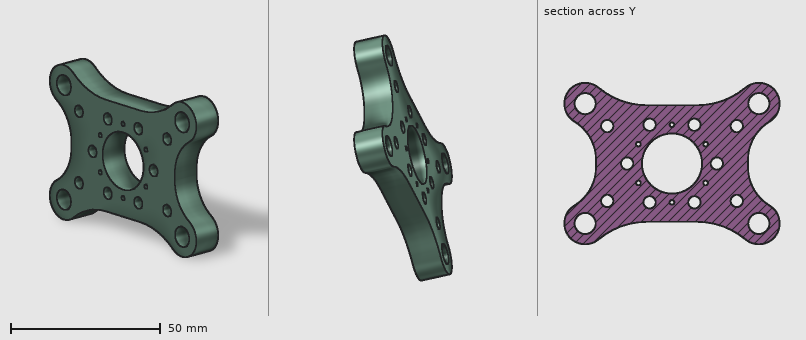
import cadquery as cq
import math

length = 72.0
height = 54.0
thickness = 10.0

lobe_radius = 7.0
lobe_x = length / 2 - lobe_radius
lobe_z = height / 2 - lobe_radius

waist_half_height = 19.5
waist_half_length = 25.4
long_side_blend = 25.0
short_side_blend = 15.0

bore_diameter = 20.0
corner_hole_diameter = 7.0
bolt_hole_diameter = 4.0
pin_hole_diameter = 1.5
bolt_circle_radius = 15.0
pin_circle_radius = 12.95
outer_bolt_radius = 25.0
ring_count = 6
ring_step = 360 / ring_count
half_step = ring_step / 2


def polar(radius, degrees):
    angle = math.radians(degrees)
    return (radius * math.cos(angle), radius * math.sin(angle))


def point_toward(start, end, distance):
    """Point at the given distance from start along the line to end."""
    span = math.dist(start, end)
    return tuple(a + (b - a) * distance / span for a, b in zip(start, end))


def blend_offset(blend_radius, drop):
    """Distance along the waist from lobe centre to blend centre, for a blend tangent to both."""
    return math.sqrt((blend_radius + lobe_radius) ** 2 - drop**2)


def arc_middle(center, start, end, radius):
    """Midpoint of the short arc from start to end."""
    chord_middle = tuple((a + b) / 2 for a, b in zip(start, end))
    return point_toward(center, chord_middle, radius)


def quarter_plate():
    lobe = (lobe_x, lobe_z)

    long_center_z = waist_half_height + long_side_blend
    long_center_x = lobe_x - blend_offset(long_side_blend, long_center_z - lobe_z)
    long_center = (long_center_x, long_center_z)
    short_center_x = waist_half_length + short_side_blend
    short_center_z = lobe_z - blend_offset(short_side_blend, short_center_x - lobe_x)
    short_center = (short_center_x, short_center_z)

    long_start = (long_center_x, waist_half_height)
    long_end = point_toward(lobe, long_center, lobe_radius)
    short_start = point_toward(lobe, short_center, lobe_radius)
    short_end = (waist_half_length, short_center_z)
    lobe_tip = point_toward(lobe, (2 * lobe_x, 2 * lobe_z), lobe_radius)

    return (
        cq.Workplane("XZ", origin=(0, thickness / 2, 0))
        .lineTo(0, waist_half_height)
        .lineTo(*long_start)
        .threePointArc(arc_middle(long_center, long_start, long_end, long_side_blend), long_end)
        .threePointArc(lobe_tip, short_start)
        .threePointArc(arc_middle(short_center, short_start, short_end, short_side_blend), short_end)
        .lineTo(waist_half_length, 0)
        .close()
        .extrude(thickness)
    )


def hole_pins(points, diameter):
    """Cylinders through the full thickness, for cutting holes."""
    return (
        cq.Workplane("XZ", origin=(0, thickness / 2, 0))
        .pushPoints(points)
        .circle(diameter / 2)
        .extrude(thickness)
    )


quarter = quarter_plate()
half = quarter.union(quarter.mirror("YZ"))
plate = half.union(half.mirror("XY")).clean()

corners = [(sx * lobe_x, sz * lobe_z) for sx in (-1, 1) for sz in (-1, 1)]
plate = plate.cut(hole_pins([(0, 0)], bore_diameter))
plate = plate.cut(hole_pins(corners, corner_hole_diameter))

bolt_ring = [polar(bolt_circle_radius, i * ring_step) for i in range(ring_count)]
pin_ring = [polar(pin_circle_radius, half_step + i * ring_step) for i in range(ring_count)]
plate = plate.cut(hole_pins(bolt_ring, bolt_hole_diameter))
plate = plate.cut(hole_pins(pin_ring, pin_hole_diameter))

outer_x, outer_z = polar(outer_bolt_radius, half_step)
outer_bolts = [(sx * outer_x, sz * outer_z) for sx in (-1, 1) for sz in (-1, 1)]
result = plate.cut(hole_pins(outer_bolts, bolt_hole_diameter))